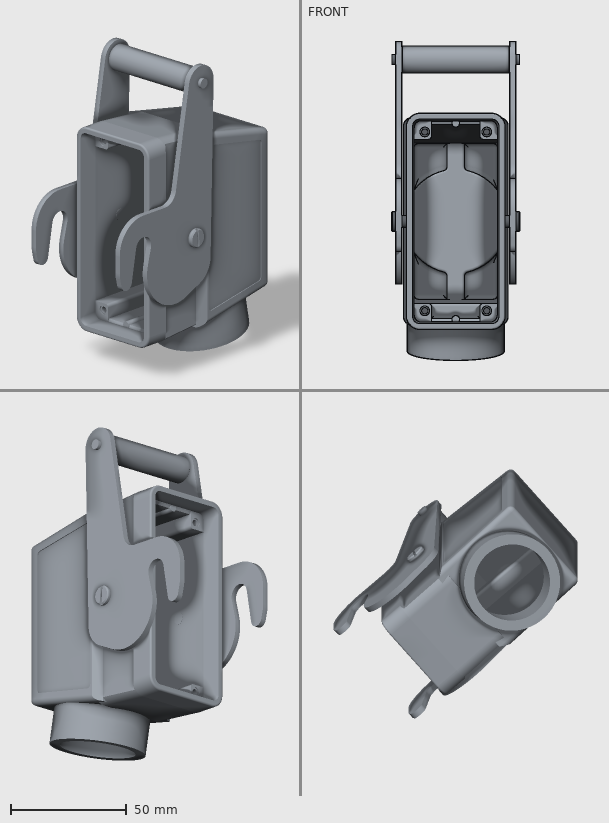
import cadquery as cq
import math


hood_half_width = 22.7
hood_back_y = 51.3
hood_front_y = 7.3
hood_shoulder_y = 11.5
hood_back_half_height = 36.2
hood_front_half_height = 44.8
hood_edge_radius = 2.5

rim_half_width = 21.4
rim_half_height = 46.8
rim_front_y = -24.6
rim_back_y = -13.3
rim_corner_radius = 6.1
rim_edge_radius = 0.8

waist_half_width = 19.9
waist_step = 1.4

panel_back_y = 45.9
panel_front_y = 12.5
panel_back_half_height = 32.2
panel_front_half_height = 38.3
panel_corner_radius = 1.7
panel_depth = 0.4

entry_tilt = 11.0
entry_radius = 21.0
entry_bore_radius = 16.6
entry_end_y = 32.0
entry_end_z = -56.2
entry_length = 27.6

mouth_half_width = 18.7
mouth_half_height = 44.2
mouth_corner_radius = 3.0
mouth_draft = 4.5
seat_y = -15.9
seat_bevel_depth = 0.7
cavity_half_width = 18.1
cavity_seat_half_height = 43.2
cavity_mid_half_height = 42.0
cavity_back_half_height = 34.0
cavity_back_y = 45.3
well_back_y = 8.3
well_corner_radius = 1.1

rail_inner_x = 10.5
rail_half_height = 35.5
rail_edge_radius = 1.4
screw_x = 13.4
screw_z = 38.7
screw_rim_radius = 2.1
screw_rim_depth = 0.5
screw_hole_radius = 1.4
screw_hole_depth = 11.0

key_radius = 1.7
key_z = 42.4

pocket_floor_y = 48.8
pocket_half_height = 33.7
pocket_floor_radius = 2.0
pocket_corner_radius = 2.0
pad_radius = 22.5
pad_edge_radius = 1.1
stem_half_width = 3.7
stem_corner_radius = 2.0

lever_inner_x = 23.4
lever_outer_x = 26.0
eye_y = 4.0
eye_z = 70.0
eye_radius = 7.9
inner_corner_y = -19.0
inner_corner_radius = 7.0
hook_y = -33.0
hook_top_z = 18.7
hook_radius = 14.9

CONVEX = 1
CONCAVE = -1
hook_shank = (-36.9, -4.3, 11.0, CONVEX)
hook_tip = (-43.5, -9.8, 3.3, CONVEX)
hook_throat = (-32.7, 3.9, 4.8, CONCAVE)
lever_belly = (-12.7, -9.4, 17.8, CONVEX)
lever_heel = (-1.7, -11.2, 11.6, CONVEX)

grip_radius = 6.0
grip_chamfer = 0.4
grip_pin_radius = 2.2
grip_pin_end_x = 27.6

pivot_radius = 2.6
pivot_inner_x = 18.0
pivot_head_radius = 4.3
pivot_head_end_x = 27.9
pivot_head_chamfer = 0.5
pivot_slot_width = 1.1
pivot_slot_depth = 1.1
pivot_slot_tilt = 5.0


pick_margin = 0.1


def side_profile(points, half_width):
    """Extrude a (Y, Z) outline along X to half_width on both sides."""
    return cq.Workplane("YZ").polyline(points).close().extrude(half_width, both=True)


def mirrored_outline(upper_points):
    """Close a chain of (Y, Z) points with its mirror image below the XY plane."""
    return upper_points + [(y, -z) for y, z in reversed(upper_points)]


def box_between(x0, x1, y0, y1, z0, z1):
    return cq.Workplane("XY").box(x1 - x0, y1 - y0, z1 - z0, centered=False).translate((x0, y0, z0))


def both_sides(shape):
    """Join a shape with its mirror image across the YZ plane."""
    return shape.union(shape.mirror("YZ"))


def rod(radius, x0, x1, y=0.0, z=0.0):
    """Cylinder along X."""
    return cq.Workplane("YZ", origin=(x0, 0, 0)).center(y, z).circle(radius).extrude(x1 - x0)


def hood():
    outline = mirrored_outline([
        (hood_front_y, hood_front_half_height),
        (hood_back_y, hood_back_half_height),
    ])
    block = side_profile(outline, hood_half_width)
    block = block.faces("not(<Y)").edges("not(<Y)").fillet(hood_edge_radius)
    shoulder_plan = (
        cq.Workplane("XY", origin=(0, 0, -rim_half_height))
        .moveTo(-waist_half_width, hood_front_y)
        .lineTo(waist_half_width, hood_front_y)
        .lineTo(hood_half_width, hood_shoulder_y)
        .lineTo(hood_half_width, hood_back_y)
        .lineTo(-hood_half_width, hood_back_y)
        .lineTo(-hood_half_width, hood_shoulder_y)
        .close()
        .extrude(2 * rim_half_height)
    )
    return block.intersect(shoulder_plan)


def side_panel():
    """Shallow recess in the left face of the hood."""
    outline = mirrored_outline([
        (panel_front_y, panel_front_half_height),
        (panel_back_y, panel_back_half_height),
    ])
    return (
        cq.Workplane("YZ", origin=(-hood_half_width, 0, 0))
        .polyline(outline)
        .close()
        .extrude(panel_depth)
        .edges("|X")
        .fillet(panel_corner_radius)
    )


def waist_and_rim():
    """Rounded rim around the opening and the waist, with recessed sides, that joins it to the hood."""
    rim = box_between(
        -rim_half_width, rim_half_width, rim_front_y, rim_back_y, -rim_half_height, rim_half_height
    )
    rim = rim.edges("|Y").fillet(rim_corner_radius).faces("<Y").edges().fillet(rim_edge_radius)
    waist = side_profile(mirrored_outline([
        (rim_back_y, rim_half_height),
        (hood_shoulder_y, hood_front_half_height),
    ]), rim_half_width)
    waist = waist.faces(">Z or <Z").edges("not |X").fillet(rim_corner_radius)
    side_cut = (
        cq.Workplane("XY", origin=(0, 0, -rim_half_height))
        .moveTo(waist_half_width, hood_shoulder_y)
        .lineTo(waist_half_width, rim_back_y + waist_step / 2)
        .lineTo(rim_half_width + waist_step, rim_back_y - waist_step)
        .lineTo(rim_half_width + waist_step, hood_shoulder_y)
        .close()
        .extrude(2 * rim_half_height)
    )
    return rim.union(waist).cut(both_sides(side_cut))


def entry_cylinder(radius):
    """Cylinder that starts at the open end of the cable entry and runs up along its axis."""
    tilt = math.radians(entry_tilt)
    axis = cq.Vector(0, -math.sin(tilt), math.cos(tilt))
    end = cq.Vector(0, entry_end_y, entry_end_z)
    return cq.Workplane(cq.Solid.makeCylinder(radius, entry_length, end, axis))


def mouth():
    """Drafted opening that narrows from the rim down to the seat."""
    return (
        cq.Workplane("XZ", origin=(0, rim_front_y, 0))
        .rect(2 * mouth_half_width, 2 * mouth_half_height)
        .extrude(rim_front_y - seat_y, taper=mouth_draft)
        .edges("not(|X or |Z)")
        .fillet(mouth_corner_radius)
    )


def ceiling_rail():
    """Rail under the ceiling on the +X side, as deep as the cavity."""
    rail = box_between(
        rail_inner_x, rim_half_width, seat_y, cavity_back_y, rail_half_height, rim_half_height
    )
    return rail.edges("|Y and <X and <Z").fillet(rail_edge_radius)


def floor_well():
    """Well in the cavity floor, between two rails and in front of the cable entry."""
    well = side_profile([
        (seat_y, -rail_half_height),
        (well_back_y, -rail_half_height),
        (well_back_y, -cavity_mid_half_height),
        (seat_y + seat_bevel_depth, -cavity_mid_half_height),
        (seat_y, -cavity_seat_half_height),
    ], rail_inner_x)
    return well.faces(">Y").edges("not >Z").fillet(well_corner_radius)


def screw_hole(x, z):
    """Blind screw hole with a shallow counterbore, sunk into the end of a rail."""
    seat = cq.Workplane("XZ", origin=(x, seat_y, z))
    rim = seat.circle(screw_rim_radius).extrude(-screw_rim_depth)
    return rim.union(seat.circle(screw_hole_radius).extrude(-screw_hole_depth))


def rear_pad():
    """Round pad with a stem above and below, standing on the back wall with a rounded front edge."""
    height = pocket_floor_y - cavity_back_y
    plane = cq.Workplane("XZ", origin=(0, cavity_back_y, 0))
    pad = plane.circle(pad_radius).extrude(-height)
    pad = pad.union(plane.rect(2 * stem_half_width, 2 * cavity_mid_half_height).extrude(-height))
    inner_corners = cq.selectors.BoxSelector(
        (-stem_half_width - pick_margin, cavity_back_y, -pad_radius),
        (stem_half_width + pick_margin, pocket_floor_y, pad_radius),
    )
    pad = pad.edges("|Y").edges(inner_corners).fillet(stem_corner_radius)
    return pad.faces("<Y").edges().fillet(pad_edge_radius)


def rear_pockets():
    """Pockets in the back wall, one in each corner around the pad."""
    pocket = box_between(
        -cavity_half_width, cavity_half_width,
        cavity_back_y, pocket_floor_y,
        -pocket_half_height, pocket_half_height,
    )
    pocket = pocket.edges("|Y").fillet(pocket_corner_radius)
    pocket = pocket.cut(rear_pad())
    return pocket.faces(">Y").edges().fillet(pocket_floor_radius)


def cavity():
    chamber = side_profile([
        (seat_y, cavity_seat_half_height),
        (seat_y + seat_bevel_depth, cavity_mid_half_height),
        (well_back_y, cavity_mid_half_height),
        (cavity_back_y, cavity_back_half_height),
        (cavity_back_y, -rail_half_height),
        (seat_y, -rail_half_height),
    ], cavity_half_width)
    chamber = chamber.cut(both_sides(ceiling_rail())).union(floor_well())
    well_top_edges = cq.selectors.BoxSelector(
        (-rail_inner_x - pick_margin, seat_y + pick_margin, -rail_half_height - pick_margin),
        (rail_inner_x + pick_margin, well_back_y + pick_margin, -rail_half_height + pick_margin),
    )
    chamber = chamber.edges(well_top_edges).fillet(rail_edge_radius)

    for side in (1, -1):
        key = cq.Workplane("XZ", origin=(0, seat_y, side * key_z)).circle(key_radius)
        chamber = chamber.cut(key.extrude(seat_y - well_back_y))
        for x in (-screw_x, screw_x):
            chamber = chamber.union(screw_hole(x, side * screw_z))
    return chamber.union(mouth()).union(rear_pockets())


def tangent_outline(circles):
    """Closed wire that wraps counterclockwise around (y, z, radius, turn) circles.

    The turn says whether the outline is CONVEX or CONCAVE there; tangent lines join neighbours.
    """
    arrivals = []
    departures = []
    followers = circles[1:] + circles[:1]
    for (y0, z0, radius0, turn0), (y1, z1, radius1, turn1) in zip(circles, followers):
        offset = turn1 * radius1 - turn0 * radius0
        normal = math.atan2(z1 - z0, y1 - y0) + math.acos(offset / math.hypot(y1 - y0, z1 - z0))
        departures.append(normal + math.pi if turn0 == CONVEX else normal)
        arrivals.append(normal + math.pi if turn1 == CONVEX else normal)

    def point_on(circle, angle):
        y, z, radius, _ = circle
        return (y + radius * math.cos(angle), z + radius * math.sin(angle))

    path = cq.Workplane("YZ").moveTo(*point_on(circles[0], arrivals[-1]))
    for index, circle in enumerate(circles):
        turn = circle[3]
        start = arrivals[index - 1]
        sweep = turn * ((turn * (departures[index] - start)) % (2 * math.pi))
        path = path.threePointArc(point_on(circle, start + sweep / 2), point_on(circle, start + sweep))
        path = path.lineTo(*point_on(followers[index], arrivals[index]))
    return path.close()


def lever_plate():
    eye = (eye_y, eye_z, eye_radius, CONVEX)
    inner_corner = (inner_corner_y, hook_top_z + inner_corner_radius, inner_corner_radius, CONCAVE)
    hook_shoulder = (hook_y, hook_top_z - hook_radius, hook_radius, CONVEX)
    outline = tangent_outline([
        eye, inner_corner, hook_shoulder, hook_shank, hook_tip, hook_throat, lever_belly, lever_heel,
    ])
    return outline.extrude(lever_outer_x - lever_inner_x).translate((lever_inner_x, 0, 0))


def pivot_screw():
    head = rod(pivot_head_radius, lever_outer_x, pivot_head_end_x)
    head = head.faces(">X").chamfer(pivot_head_chamfer)
    slot = box_between(
        pivot_head_end_x - pivot_slot_depth, pivot_head_end_x,
        -pivot_slot_width / 2, pivot_slot_width / 2,
        -pivot_head_radius, pivot_head_radius,
    ).rotate((0, 0, 0), (1, 0, 0), pivot_slot_tilt)
    return rod(pivot_radius, pivot_inner_x, lever_outer_x).union(head.cut(slot))


def grip():
    sleeve = rod(grip_radius, -lever_inner_x, lever_inner_x, eye_y, eye_z).edges().chamfer(grip_chamfer)
    return sleeve.union(rod(grip_pin_radius, -grip_pin_end_x, grip_pin_end_x, eye_y, eye_z))


shell = hood().union(waist_and_rim()).union(entry_cylinder(entry_radius))
shell = shell.cut(both_sides(side_panel()))
shell = shell.cut(cavity())
shell = shell.cut(entry_cylinder(entry_bore_radius))
lever = both_sides(lever_plate().union(pivot_screw())).union(grip())
result = shell.union(lever)